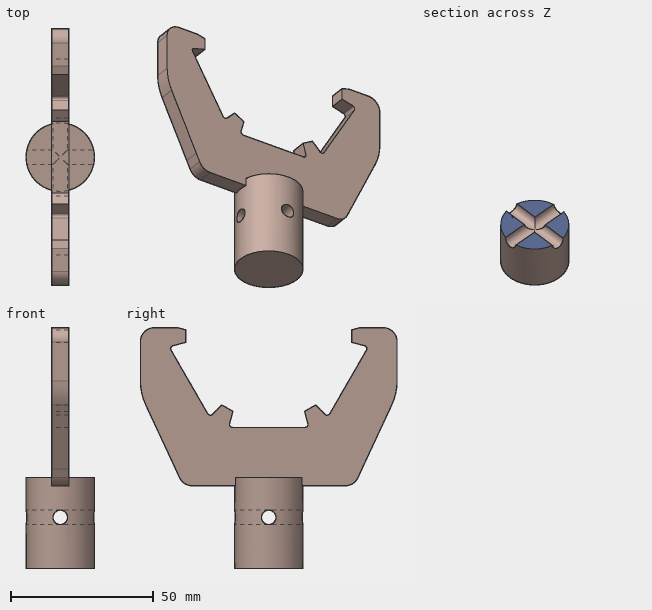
import cadquery as cq
import math

post_diameter = 24.0
post_height = 32.0
cross_hole_diameter = 5.0
cross_hole_height = 18.0

overall_height = 84.47
plate_thickness = 6.0
plate_sink = 3.0
half_width = 45.0
foot_half_width = 29.95
flank_angle = 25.0
flank_break_y = 32.7
flank_break_height = 6.0
top_corner_radius = 5.0
shoulder_radius = 20.0
foot_corner_radius = 5.0

hook_tip_y = 29.0
hook_tip_height = 4.4
hook_bevel_drop = 0.8
hook_angle = 15.0
arm_root_y = 34.85

seat_depth = 34.95
arm_angle = 30.0
tooth_inner_y = 12.5
tooth_inner_height = 5.6
tooth_top_width = 4.56
tooth_top_angle = 30.0
tooth_inner_angle = 15.0
inner_corner_radius = 1.0


def tangent(degrees):
    return math.tan(math.radians(degrees))


def half_outline():
    """(y, z, corner radius) around the +Y half, from the foot to the seat floor."""
    foot_z = post_height - plate_sink
    top_z = overall_height
    seat_z = top_z - seat_depth
    flank_break_z = foot_z + flank_break_height
    shoulder_z = flank_break_z + (half_width - flank_break_y) / tangent(flank_angle)

    bevel_z = top_z - hook_bevel_drop
    bevel_y = hook_tip_y + hook_bevel_drop / tangent(hook_angle)
    tip_bottom_z = bevel_z - hook_tip_height
    arm_root_z = tip_bottom_z - (arm_root_y - hook_tip_y) * tangent(hook_angle)

    tooth_inner_z = seat_z + tooth_inner_height
    tooth_outer_y = tooth_inner_y + tooth_top_width * math.cos(math.radians(tooth_top_angle))
    tooth_outer_z = tooth_inner_z + tooth_top_width * math.sin(math.radians(tooth_top_angle))
    tooth_root_y = tooth_inner_y + tooth_inner_height * tangent(tooth_inner_angle)

    arm_run_at_tooth = (arm_root_z - tooth_outer_z) * tangent(arm_angle)
    gap_at_tooth = arm_root_y - arm_run_at_tooth - tooth_outer_y
    notch_depth = gap_at_tooth / (1 + tangent(arm_angle))
    notch_y = tooth_outer_y + notch_depth
    notch_z = tooth_outer_z - notch_depth

    return [
        (foot_half_width, foot_z, foot_corner_radius),
        (flank_break_y, flank_break_z, 0),
        (half_width, shoulder_z, shoulder_radius),
        (half_width, top_z, top_corner_radius),
        (bevel_y, top_z, 0),
        (hook_tip_y, bevel_z, 0),
        (hook_tip_y, tip_bottom_z, 0),
        (arm_root_y, arm_root_z, inner_corner_radius),
        (notch_y, notch_z, inner_corner_radius),
        (tooth_outer_y, tooth_outer_z, 0),
        (tooth_inner_y, tooth_inner_z, 0),
        (tooth_root_y, seat_z, inner_corner_radius),
    ]


def make_plate():
    corners = half_outline()
    right_side = [(y, z) for y, z, _ in corners]
    left_side = [(-y, z) for y, z in reversed(right_side)]
    plate = cq.Workplane("YZ").polyline(right_side + left_side).close()
    plate = plate.extrude(plate_thickness / 2, both=True)
    for y, z, radius in corners:
        if radius > 0:
            for side in (1, -1):
                edge = cq.selectors.NearestToPointSelector((0, side * y, z))
                plate = plate.edges("|X").edges(edge).fillet(radius)
    return plate


def make_post():
    return cq.Workplane("XY").circle(post_diameter / 2).extrude(post_height)


def drill_cross_holes(body):
    for plane in ("XZ", "YZ"):
        drill = cq.Workplane(plane).center(0, cross_hole_height).circle(cross_hole_diameter / 2)
        body = body.cut(drill.extrude(post_diameter, both=True))
    return body


result = drill_cross_holes(make_post().union(make_plate()))